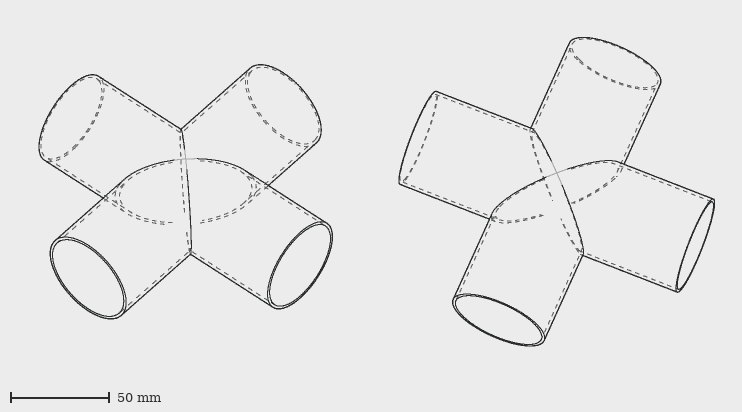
import cadquery as cq

run_length = 152.4
outer_diameter = 50.7
bore_diameter = 47.5


def crossed_cylinders(diameter):
    """Two equal cylinders along X and Y, joined where they cross."""
    along_x = cq.Workplane("YZ").circle(diameter / 2).extrude(run_length / 2, both=True)
    along_y = cq.Workplane("XZ").circle(diameter / 2).extrude(run_length / 2, both=True)
    return along_x.union(along_y)


result = crossed_cylinders(outer_diameter).cut(crossed_cylinders(bore_diameter))